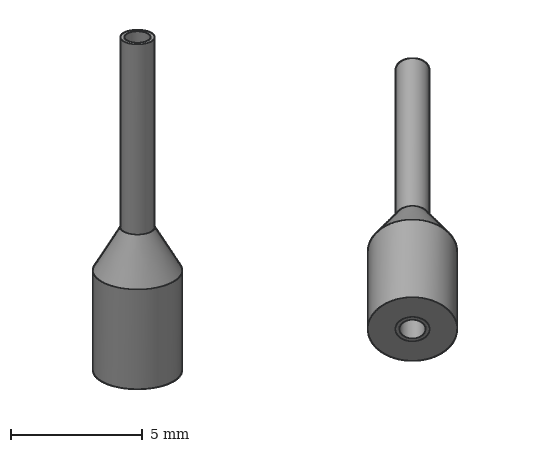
import cadquery as cq

TOTAL_LENGTH = 14.0
TUBE_DIAMETER = 1.3
BORE_DIAMETER = 1.0
COLLAR_DIAMETER = 3.4
BARREL_HEIGHT = 4.2
COLLAR_HEIGHT = 6.0


def make_tube():
    """Open metal tube over the full length of the ferrule."""
    return (
        cq.Workplane("XY")
        .circle(TUBE_DIAMETER / 2)
        .circle(BORE_DIAMETER / 2)
        .extrude(TOTAL_LENGTH)
    )


def make_collar():
    """Straight barrel with a cone that tapers down to the tube surface."""
    tube_radius = TUBE_DIAMETER / 2
    collar_radius = COLLAR_DIAMETER / 2
    half_section = [
        (tube_radius, 0),
        (collar_radius, 0),
        (collar_radius, BARREL_HEIGHT),
        (tube_radius, COLLAR_HEIGHT),
    ]
    return (
        cq.Workplane("XZ")
        .polyline(half_section)
        .close()
        .revolve(360, (0, 0, 0), (0, 1, 0))
    )


tube = make_tube()
collar = make_collar()

result = cq.Compound.makeCompound([tube.val(), collar.val()])